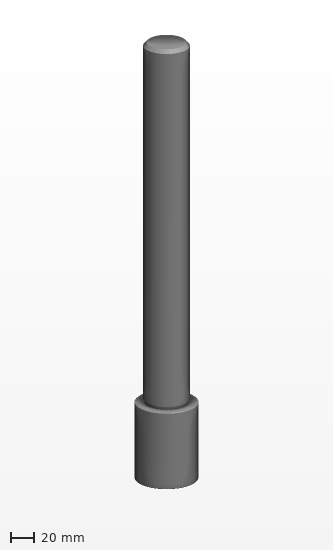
import cadquery as cq

total_length = 400.0
head_diameter = 55.0
head_length = 70.0
head_chamfer = 0.5
shank_diameter = 40.0

neck_diameter = 38.0
neck_length = 3.0

tip_diameter = 34.0
tip_chamfer_length = 3.0

head_radius = head_diameter / 2
shank_radius = shank_diameter / 2
neck_radius = neck_diameter / 2
tip_radius = tip_diameter / 2
neck_top = head_length + neck_length
tip_chamfer_base = total_length - tip_chamfer_length

half_profile = [
    (0, 0),
    (head_radius - head_chamfer, 0),
    (head_radius, head_chamfer),
    (head_radius, head_length - head_chamfer),
    (head_radius - head_chamfer, head_length),
    (neck_radius, head_length),
    (neck_radius, neck_top),
    (shank_radius, neck_top),
    (shank_radius, tip_chamfer_base),
    (tip_radius, total_length),
    (0, total_length),
]

result = cq.Workplane("XZ").polyline(half_profile).close().revolve(360, (0, 0), (0, 1))